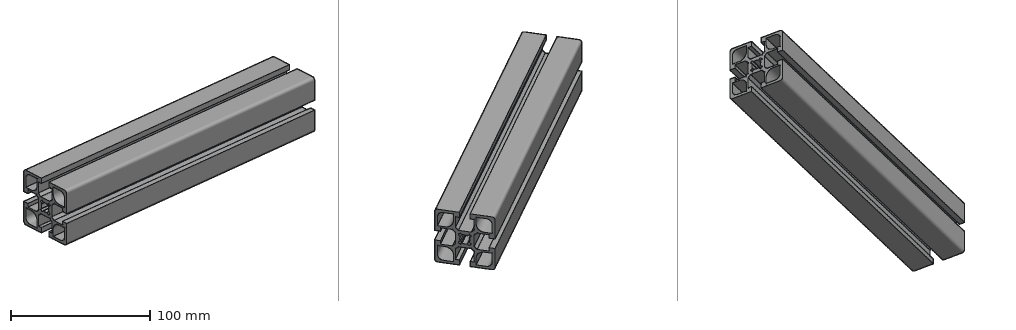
import cadquery as cq

length = 245.0
side = 45.0
half_side = side / 2
corner_radius = 2.5

axis_start = (0, 0, 0)
axis_end = (0, 1, 0)
face_count = 4

slot_opening = 8.0
slot_width = 14.0
lip_thickness = 4.5
core_half = slot_width / 2
slot_chamfer = 2.2

outer_wall = 2.2
inner_wall = 1.5
chamber_side = half_side - outer_wall - core_half - inner_wall
chamber_outer_radius = 4.5
chamber_inner_radius = 6.1

bore_diameter = 7.5
notch_width = 2.0
notch_span = 11.5


def profile_plane():
    """Sketch plane at the +Y end; local x, y are X, Z and extrusion runs towards -Y."""
    return cq.Workplane("XZ", origin=(0, length / 2, 0))


def make_body():
    return profile_plane().rect(side, side).extrude(length).edges("|Y").fillet(corner_radius)


def make_slot():
    """T-slot opening through the +Z face."""
    lip_bottom = half_side - lip_thickness
    half_opening = slot_opening / 2
    half_width = slot_width / 2
    half_floor = half_width - slot_chamfer
    right_half = [
        (half_opening, half_side),
        (half_opening, lip_bottom),
        (half_width, lip_bottom),
        (half_width, core_half + slot_chamfer),
        (half_floor, core_half),
    ]
    left_half = [(-x, z) for x, z in reversed(right_half)]
    return profile_plane().polyline(right_half + left_half).close().extrude(length)


def make_chamber():
    """Corner chamber in the +X +Z quadrant, with its two diagonal corners well rounded."""
    center = core_half + inner_wall + chamber_side / 2
    chamber = profile_plane().center(center, center).rect(chamber_side, chamber_side).extrude(length)
    chamber = chamber.edges("|Y and >(1, 0, 1)").fillet(chamber_outer_radius)
    chamber = chamber.edges("|Y and <(1, 0, 1)").fillet(chamber_inner_radius)
    return chamber


def make_bore():
    """Central bore joined with two crossed diagonal bars that form the four notches."""
    bore = profile_plane().circle(bore_diameter / 2).extrude(length)
    bar = profile_plane().rect(notch_span, notch_width).extrude(length)
    for angle in (45, -45):
        bore = bore.union(bar.rotate(axis_start, axis_end, angle))
    return bore


result = make_body().cut(make_bore())
slot = make_slot()
chamber = make_chamber()
for turn in range(face_count):
    for cutter in (slot, chamber):
        result = result.cut(cutter.rotate(axis_start, axis_end, turn * 360 / face_count))